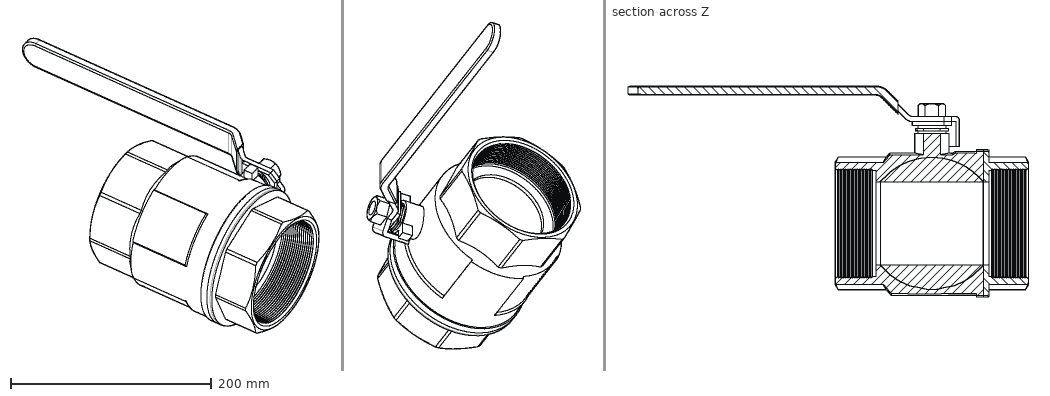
import cadquery as cq
import math


bore_radius = 44.0
ball_radius = 67.5
thread_minor_radius = 55.0
thread_depth = 1.5
thread_pitch = 2.32
thread_groove_count = 15
thread_mouth_radius = 57.3
socket_depth = 41.0

body_length = 193.5
half_length = body_length / 2
octagon_flat_distance = 62.0
octagon_turned_radius = 66.5
end_chamfer_length = 3.2
end_chamfer_depth = 5.2
octagon_diameter = 2 * octagon_flat_distance / math.cos(math.pi / 8)

barrel_radius = 72.0
cone_start_x = -49.3
barrel_start_x = -40.5
flange_radius = 73.5
flange_start_x = 44.5
joint_x = 51.5
flange_end_x = 57.3
flange_chamfer_length = 1.5
flange_chamfer_depth = 0.5

panel_radius = 70.5
panel_floor_end_x = 21.0
panel_end_x = 23.5
panel_inner_angle = 19.4
panel_outer_angle = 66.0

collar_radius = 17.2
collar_top_y = 90.0
lug_width = 9.5
lug_reach = 27.2
lug_bottom_y = 79.3
lower_lug_shift = 4.0

plate_thickness = 5.2
plate_half_width = 15.0
plate_bottom_y = 101.7
plate_end_x = 19.5
plate_corner_x = 12.0
plate_top_y = plate_bottom_y + plate_thickness
plate_middle_y = plate_bottom_y + plate_thickness / 2
lower_bend_x = -22.5
lever_rise = 28.5
upper_bend_x = lower_bend_x - lever_rise
lower_bend_radius = 8.0
upper_bend_radius = 12.0
overall_length = 400.5
grip_tip_x = half_length - overall_length
grip_end_x = -33.5
grip_thickness = 9.2
grip_width = 32.5
grip_half_width = grip_width / 2
grip_edge_rise = 2.5
grip_edge_inset = 1.2
stop_corner_x = 27.5
stop_corner_z = -5.0
stop_bottom_y = 77.0
stop_bend_radius = 5.0

gland_radius = 14.0
gland_hex_diameter = 33.0
gland_hex_bottom_y = 92.5
gland_hex_height = 2.2
spacer_bottom_y = 97.7
stem_radius = 10.0
shank_radius = 7.2
tongue_width = 9.5
tongue_length = 16.0
tongue_bottom_y = 54.0
nut_diameter = 27.5
nut_height = 13.0
nut_chamfer = 2.0


def cylinder_along_y(radius, start_y, end_y):
    return cq.Workplane("XZ", origin=(0, start_y, 0)).circle(radius).extrude(start_y - end_y)


def hexagon_along_y(diameter, start_y, height):
    return cq.Workplane("XZ", origin=(0, start_y, 0)).polygon(6, diameter).extrude(-height)


def revolved_about_x(points, angle=360):
    return cq.Workplane("XY").polyline(points).close().revolve(angle, (0, 0, 0), (1, 0, 0))


def octagonal_end(inner_x):
    length = half_length + inner_x
    octagon = cq.Workplane("YZ", origin=(-half_length, 0, 0)).polygon(8, octagon_diameter).extrude(length)
    turned = revolved_about_x([
        (-half_length, 0),
        (-half_length, octagon_turned_radius - end_chamfer_depth),
        (-half_length + end_chamfer_length, octagon_turned_radius),
        (inner_x, octagon_turned_radius),
        (inner_x, 0),
    ])
    return octagon.intersect(turned)


def threaded_socket():
    mouth_depth = thread_mouth_radius - thread_minor_radius
    start_x = -half_length + mouth_depth
    points = [
        (-half_length, 0),
        (-half_length, thread_mouth_radius),
        (start_x, thread_minor_radius),
    ]
    for groove in range(thread_groove_count):
        groove_x = start_x + groove * thread_pitch
        points.append((groove_x + thread_pitch / 2, thread_minor_radius + thread_depth))
        points.append((groove_x + thread_pitch, thread_minor_radius))
    shoulder_x = -half_length + socket_depth
    points.append((shoulder_x, thread_minor_radius))
    points.append((shoulder_x, 0))
    return revolved_about_x(points)


def bore():
    return cq.Workplane("YZ", origin=(-half_length, 0, 0)).circle(bore_radius).extrude(body_length)


def panel_recess(start_angle, sweep):
    """Shallow recess in the barrel; angles turn about X, from +Y towards +Z."""
    recess = revolved_about_x([
        (cone_start_x, panel_radius),
        (panel_floor_end_x, panel_radius),
        (panel_end_x, barrel_radius),
        (panel_end_x, flange_radius),
        (cone_start_x, flange_radius),
    ], sweep)
    return recess.rotate((0, 0, 0), (1, 0, 0), start_angle)


def stop_lug(center_x, reach):
    """Lug running from the stem axis out to z = reach."""
    height = collar_top_y - lug_bottom_y
    return cq.Workplane("XY").box(lug_width, height, abs(reach)).translate(
        (center_x, lug_bottom_y + height / 2, reach / 2)
    )


def make_body():
    body = revolved_about_x([
        (cone_start_x, 0),
        (cone_start_x, octagon_flat_distance),
        (barrel_start_x, barrel_radius),
        (flange_start_x, barrel_radius),
        (flange_start_x, flange_radius),
        (joint_x, flange_radius),
        (joint_x, 0),
    ])
    panel_sweep = panel_outer_angle - panel_inner_angle
    body = body.cut(panel_recess(180 - panel_outer_angle, panel_sweep))
    body = body.cut(panel_recess(180 + panel_inner_angle, panel_sweep))
    body = body.cut(panel_recess(-panel_outer_angle, 2 * panel_outer_angle))
    body = body.union(octagonal_end(barrel_start_x))
    body = body.union(cylinder_along_y(collar_radius, ball_radius, collar_top_y))
    body = body.union(stop_lug(0, lug_reach)).union(stop_lug(-lower_lug_shift, -lug_reach))
    body = body.cut(threaded_socket()).cut(bore())
    body = body.cut(cq.Workplane("XY").sphere(ball_radius))
    return body.cut(cylinder_along_y(stem_radius, 0, collar_top_y))


def make_cap():
    flange = revolved_about_x([
        (joint_x, 0),
        (joint_x, flange_radius),
        (flange_end_x - flange_chamfer_length, flange_radius),
        (flange_end_x, flange_radius - flange_chamfer_depth),
        (flange_end_x, 0),
    ])
    end = octagonal_end(-joint_x).cut(threaded_socket()).mirror("YZ")
    return flange.union(end).cut(bore())


def stem_tongue():
    return (
        cq.Workplane("XZ", origin=(0, tongue_bottom_y, 0))
        .rect(tongue_length, tongue_width)
        .extrude(tongue_bottom_y - ball_radius)
    )


def make_ball():
    return cq.Workplane("XY").sphere(ball_radius).cut(bore()).cut(stem_tongue())


def shank():
    """Upper end of the stem, also used to bore the parts that sit on it."""
    return cylinder_along_y(shank_radius, spacer_bottom_y, plate_top_y + nut_height)


def make_stem():
    stem = cylinder_along_y(stem_radius, ball_radius, collar_top_y)
    stem = stem.cut(cq.Workplane("XY").sphere(ball_radius))
    stem = stem.union(stem_tongue())
    stem = stem.union(cylinder_along_y(gland_radius, collar_top_y, spacer_bottom_y))
    stem = stem.union(hexagon_along_y(gland_hex_diameter, gland_hex_bottom_y, gland_hex_height))
    return stem.union(shank())


def cranked_strip(thickness, end_x, tip_x, half_width):
    """Strip bent up at 45 degrees and level again, with a round tip at tip_x."""
    half = thickness / 2
    bend_shift = half * math.tan(math.pi / 8)
    upper_y = plate_middle_y + lever_rise
    upper_top = (upper_bend_x + bend_shift, upper_y + half)
    upper_bottom = (upper_bend_x - bend_shift, upper_y - half)
    lower_top = (lower_bend_x + bend_shift, plate_middle_y + half)
    lower_bottom = (lower_bend_x - bend_shift, plate_middle_y - half)
    side = cq.Workplane("XY").polyline([
        (tip_x, upper_y + half),
        upper_top,
        lower_top,
        (plate_end_x, plate_middle_y + half),
        (plate_end_x, plate_middle_y - half),
        lower_bottom,
        upper_bottom,
        (tip_x, upper_y - half),
    ]).close().extrude(half_width, both=True)
    for corner, radius in [
        (upper_top, upper_bend_radius + half),
        (upper_bottom, upper_bend_radius - half),
        (lower_top, lower_bend_radius - half),
        (lower_bottom, lower_bend_radius + half),
    ]:
        side = side.edges("|Z").edges(cq.selectors.NearestToPointSelector((*corner, 0))).fillet(radius)
    tip_center_x = tip_x + half_width
    plan = (
        cq.Workplane("XZ")
        .moveTo(end_x, half_width)
        .lineTo(tip_center_x, half_width)
        .threePointArc((tip_x, 0), (tip_center_x, -half_width))
        .lineTo(end_x, -half_width)
        .close()
        .extrude(-2 * flange_radius)
    )
    return side.intersect(plan)


def lever_head():
    """Flat head with a diagonal stop tab turned down towards the body."""
    corner_sum = stop_corner_x + stop_corner_z
    outline = [
        (lower_bend_x, plate_half_width),
        (plate_corner_x, plate_half_width),
        (plate_end_x, plate_half_width - plate_end_x + plate_corner_x),
        (plate_end_x, corner_sum - plate_end_x),
        (stop_corner_x, stop_corner_z),
        (-stop_corner_z, -stop_corner_x),
        (plate_half_width - corner_sum, -plate_half_width),
        (lower_bend_x, -plate_half_width),
    ]
    head = cq.Workplane("XZ", origin=(0, plate_bottom_y, 0)).polyline(outline).close()
    head = head.extrude(-plate_thickness)
    shift = plate_thickness / math.sqrt(2)
    tab_outline = [
        (stop_corner_x, stop_corner_z),
        (-stop_corner_z, -stop_corner_x),
        (-stop_corner_z - shift, -stop_corner_x + shift),
        (stop_corner_x - shift, stop_corner_z + shift),
    ]
    tab = cq.Workplane("XZ", origin=(0, plate_top_y, 0)).polyline(tab_outline).close()
    tab = tab.extrude(plate_top_y - stop_bottom_y)
    bend_middle = (stop_corner_x - stop_corner_z) / 2
    bend_edge = cq.selectors.NearestToPointSelector((bend_middle, plate_top_y, -bend_middle))
    return head.union(tab).edges(bend_edge).fillet(stop_bend_radius)


def make_lever():
    cover = grip_half_width - plate_half_width
    stem_axis_x = 0
    strip = cranked_strip(plate_thickness, stem_axis_x, grip_tip_x + cover, plate_half_width)
    return strip.union(lever_head()).cut(shank())


def make_grip(lever):
    grip = cranked_strip(grip_thickness, grip_end_x, grip_tip_x, grip_half_width)
    middle_x = (grip_tip_x + upper_bend_x) / 2
    for offset in (grip_thickness / 2, -grip_thickness / 2):
        edge_point = (middle_x, plate_middle_y + lever_rise + offset, grip_half_width)
        long_edge = grip.edges("|X").edges(cq.selectors.NearestToPointSelector(edge_point))
        grip = long_edge.chamfer(grip_edge_inset, grip_edge_rise)
    return grip.cut(lever)


def make_spacer():
    tab_inner_offset = stop_corner_x - stop_corner_z - plate_thickness * math.sqrt(2)
    outline = [
        (-plate_end_x, plate_half_width),
        (plate_corner_x, plate_half_width),
        (plate_end_x, plate_half_width - plate_end_x + plate_corner_x),
        (plate_end_x, plate_end_x - tab_inner_offset),
        (tab_inner_offset - plate_half_width, -plate_half_width),
        (-plate_end_x, -plate_half_width),
    ]
    spacer = cq.Workplane("XZ", origin=(0, spacer_bottom_y, 0)).polyline(outline).close()
    return spacer.extrude(spacer_bottom_y - plate_bottom_y).cut(shank())


def make_nut():
    nut = hexagon_along_y(nut_diameter, plate_top_y, nut_height)
    turned = cylinder_along_y(nut_diameter / 2, plate_top_y, plate_top_y + nut_height)
    return nut.intersect(turned.faces(">Y").chamfer(nut_chamfer)).cut(shank())


body = make_body()
cap = make_cap()
ball = make_ball()
stem = make_stem()
lever = make_lever()
grip = make_grip(lever)
spacer = make_spacer()
nut = make_nut()

result = cq.Compound.makeCompound([
    body.solids().val(),
    cap.solids().val(),
    ball.solids().val(),
    stem.solids().val(),
    lever.solids().val(),
    grip.solids().val(),
    spacer.solids().val(),
    nut.solids().val(),
])